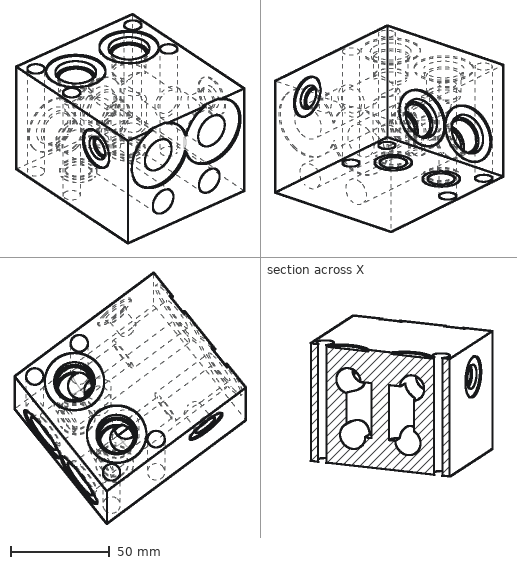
import cadquery as cq
import math


length = 88.9
width = 76.2
overall_height = 62.4
ring_standout = 0.5
height = overall_height - ring_standout

mount_hole_radius = 4.4
mount_hole_first_x = 8.0
mount_hole_pitch_x = 28.45
mount_hole_y = 31.7

seat_taper = math.radians(12)
lead_in_angle = math.radians(60)
drill_half_angle = math.radians(60)

large_spot_radius = 15.0
large_mouth_radius = 10.3
large_bore_radius = 8.7
large_seat_depth = 2.9
large_pilot_radius = 8.4
large_bore_depth = 14.05
large_pilot_depth = 15.8
spot_depth = 0.8

small_spot_radius = 10.5
small_mouth_radius = 6.1
small_bore_radius = 4.9
small_seat_depth = 2.2

top_port_x = 22.3
side_port_y = 15.1
side_port_z = 17.25
gauge_port_x = 63.5
gauge_port_z = 44.4

cavity_y = 17.4
cavity_z = gauge_port_z
cavity_spot_radius = 18.1
cavity_bore_radius = 8.7
cavity_bore_depth = 35.6
cavity_spot_depth = 1.1
cavity_nose_radius = 6.5
cavity_nose_x = 26.3

through_radius = 6.8
through_z = 15.7
cross_radius = 6.8
cross_x = 32.6
cross_y = 11.65

ring_x = top_port_x
ring_y = 15.7
ring_section_radius = 1.3
ring_mean_radius = 8.2
ring_center_z = ring_section_radius - ring_standout


def turned_cutter(points):
    """Revolve (radius, depth) points about Z, the depth running down from the XY plane."""
    outline = [(radius, -depth) for radius, depth in points]
    return cq.Workplane("XZ").polyline(outline).close().revolve(360, (0, 0, 0), (0, 1, 0))


def port_cutter(spot_radius, mouth_radius, bore_radius, seat_depth, bore_depth):
    """Flat-ended port cutter that starts at the origin and points down."""
    seat_end_depth = spot_depth + seat_depth
    seat_end_radius = mouth_radius - seat_depth * math.tan(seat_taper)
    lead_in_depth = (seat_end_radius - bore_radius) / math.tan(lead_in_angle)
    return turned_cutter([
        (0, 0),
        (spot_radius, 0),
        (spot_radius, spot_depth),
        (mouth_radius, spot_depth),
        (seat_end_radius, seat_end_depth),
        (bore_radius, seat_end_depth + lead_in_depth),
        (bore_radius, bore_depth),
        (0, bore_depth),
    ])


def large_port():
    """Port whose bore ends in a slightly narrower pilot hole with a drill point."""
    point_depth = large_pilot_radius / math.tan(drill_half_angle)
    pilot = turned_cutter([
        (0, 0),
        (large_pilot_radius, 0),
        (large_pilot_radius, large_pilot_depth),
        (0, large_pilot_depth + point_depth),
    ])
    port = port_cutter(
        large_spot_radius, large_mouth_radius, large_bore_radius, large_seat_depth, large_bore_depth
    )
    return port.union(pilot)


def turned_to_plus_x(cutter):
    """Turn a cutter that points down so that it points along +X."""
    return cutter.rotate((0, 0, 0), (0, 1, 0), -90)


def turned_to_minus_x(cutter):
    """Turn a cutter that points down so that it points along -X."""
    return cutter.rotate((0, 0, 0), (0, 1, 0), 90)


def turned_to_plus_y(cutter):
    """Turn a cutter that points down so that it points along +Y."""
    return cutter.rotate((0, 0, 0), (1, 0, 0), 90)


def make_top_port():
    return large_port().translate((top_port_x, -cavity_y, height))


def make_side_port():
    port = turned_to_plus_x(large_port())
    return port.translate((0, -side_port_y, side_port_z))


def make_gauge_port():
    """Port in the -Y face that ends at the axis of the valve cavity."""
    bore_depth = width / 2 - cavity_y
    port = port_cutter(
        small_spot_radius, small_mouth_radius, small_bore_radius, small_seat_depth, bore_depth
    )
    return turned_to_plus_y(port).translate((gauge_port_x, -width / 2, gauge_port_z))


def make_cavity():
    """Stepped bore in the +X face with a round inner end, turned as one profile."""
    nose_depth = length - cavity_nose_x
    round_middle = cavity_nose_radius * math.sqrt(0.5)
    profile = (
        cq.Workplane("XZ")
        .lineTo(cavity_spot_radius, 0)
        .lineTo(cavity_spot_radius, -cavity_spot_depth)
        .lineTo(cavity_bore_radius, -cavity_spot_depth)
        .lineTo(cavity_bore_radius, -cavity_bore_depth)
        .lineTo(cavity_nose_radius, -cavity_bore_depth)
        .lineTo(cavity_nose_radius, -nose_depth)
        .threePointArc((round_middle, -nose_depth - round_middle), (0, -nose_depth - cavity_nose_radius))
        .close()
    )
    cavity = profile.revolve(360, (0, 0, 0), (0, 1, 0))
    return turned_to_minus_x(cavity).translate((length, -cavity_y, cavity_z))


def make_through_passage():
    return (
        cq.Workplane("YZ", origin=(0, -side_port_y, through_z)).circle(through_radius).extrude(length)
    )


def make_cross_passage():
    """Vertical passage that joins the valve cavity to the through passage."""
    return (
        cq.Workplane("XY", origin=(cross_x, -cross_y, through_z))
        .circle(cross_radius)
        .extrude(cavity_z - through_z)
    )


def make_ring_groove():
    """Square-bottomed groove as wide and as deep as the ring needs."""
    return (
        cq.Workplane("XY", origin=(ring_x, -ring_y, 0))
        .circle(ring_mean_radius + ring_section_radius)
        .circle(ring_mean_radius - ring_section_radius)
        .extrude(ring_center_z + ring_section_radius)
    )


def make_block():
    block = cq.Workplane("XY").box(length, width, height, centered=(False, True, False))
    mount_holes = (
        cq.Workplane("XY", origin=(mount_hole_first_x + mount_hole_pitch_x / 2, 0, 0))
        .rarray(mount_hole_pitch_x, 2 * mount_hole_y, 2, 2)
        .circle(mount_hole_radius)
        .extrude(height)
    )
    block = block.cut(mount_holes)
    half_cutters = [
        make_top_port(),
        make_side_port(),
        make_gauge_port(),
        make_cavity(),
        make_through_passage(),
        make_cross_passage(),
        make_ring_groove(),
    ]
    for cutter in half_cutters:
        block = block.cut(cutter, clean=False)
        block = block.cut(cutter.mirror("XZ"), clean=False)
    return block


def make_sealing_ring(y):
    ring = cq.Solid.makeTorus(ring_mean_radius, ring_section_radius)
    return ring.translate(cq.Vector(ring_x, y, ring_center_z))


block = make_block()
sealing_rings = [make_sealing_ring(side * ring_y) for side in (-1, 1)]

result = cq.Compound.makeCompound([block.val(), *sealing_rings])